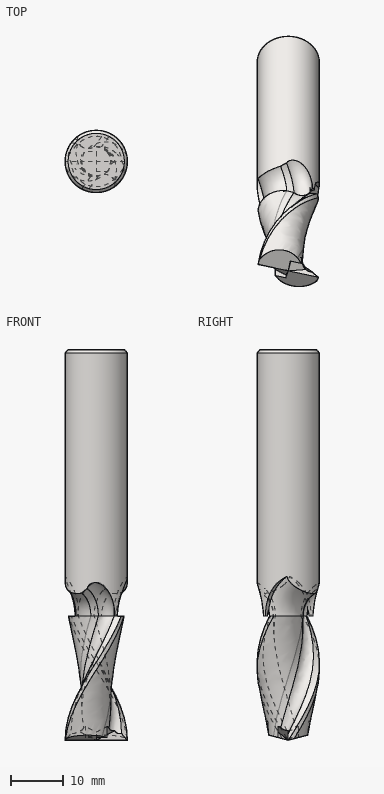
import cadquery as cq
import math

length = 75.0
radius = 6.0
shank_chamfer = 0.6
cutter_length = 23.85

tooth_count = 2
helix_lead = 60.0
twist = 360.0 * cutter_length / helix_lead

land_angle = 9.0
relief_middle = (-2.4, -3.5)
heel = (0.9, -2.9)
flute_start = (2.0, -2.0)
flute_middle = (3.45, -0.7)
rake_inner = (4.8, -0.7)

end_relief_slope = 0.26
gash_width = 1.95
gash_slope_x = 0.52
gash_slope_y = 0.8

runout_axis_y = 7.65
runout_outer_y = 6.75
runout_side_x = 6.75
runout_flute_end = (-5.7, 1.65)
runout_relief_middle = (3.15, 1.95)
runout_relief_end = (4.95, -1.05)
runout_angle = 90.0

clearance = 1.5
tool_reach = radius + clearance


def turned(point):
    """Return the point turned half a revolution about the Z axis."""
    return (-point[0], -point[1])


def on_circle(angle):
    """Return the point of the cutter's outer circle at an angle in degrees."""
    return (radius * math.cos(math.radians(angle)), radius * math.sin(math.radians(angle)))


def tooth_section():
    """Two-tooth section: narrow lands, convex reliefs and hollow flutes."""
    edge = on_circle(180.0)
    land_middle = on_circle(180.0 + land_angle / 2)
    land_end = on_circle(180.0 + land_angle)
    return (
        cq.Workplane("XY")
        .moveTo(*edge)
        .threePointArc(land_middle, land_end)
        .threePointArc(relief_middle, heel)
        .lineTo(*flute_start)
        .threePointArc(flute_middle, rake_inner)
        .lineTo(*turned(edge))
        .threePointArc(turned(land_middle), turned(land_end))
        .threePointArc(turned(relief_middle), turned(heel))
        .lineTo(*turned(flute_start))
        .threePointArc(turned(flute_middle), turned(rake_inner))
        .close()
    )


def end_relief_tool():
    """Wedge below the end face, sloping up behind the cutting edge."""
    rise = end_relief_slope * tool_reach
    return (
        cq.Workplane("YZ")
        .polyline([(0, 0), (tool_reach, rise), (tool_reach, -clearance), (0, -clearance)])
        .close()
        .extrude(tool_reach, both=True)
    )


def gash_tool():
    """Notch in front of one cutting edge, its floor rising outward and away from the edge."""
    rise_x = gash_slope_x * tool_reach
    rise_y = gash_slope_y * gash_width

    def gash_outline(y, extra_height):
        return cq.Wire.makePolygon(
            [
                cq.Vector(0, y, -clearance),
                cq.Vector(tool_reach, y, -clearance),
                cq.Vector(tool_reach, y, rise_x + extra_height),
                cq.Vector(0, y, extra_height),
            ],
            close=True,
        )

    return cq.Workplane(cq.Solid.makeLoft([gash_outline(0, 0), gash_outline(-gash_width, rise_y)], True))


def runout_tool():
    """Flute void turned outward about an axis beside the shank."""
    return (
        cq.Workplane("XY")
        .moveTo(-runout_side_x, runout_outer_y)
        .lineTo(-runout_side_x, runout_flute_end[1])
        .lineTo(*runout_flute_end)
        .threePointArc(turned(flute_middle), turned(flute_start))
        .lineTo(*turned(heel))
        .threePointArc(runout_relief_middle, runout_relief_end)
        .lineTo(runout_side_x, runout_relief_end[1])
        .lineTo(runout_side_x, runout_outer_y)
        .close()
        .revolve(runout_angle, (0, runout_axis_y), (-1, runout_axis_y))
    )


def make_cutter():
    cutter = tooth_section().twistExtrude(cutter_length, twist)
    for tooth in range(tooth_count):
        turn = 360.0 * tooth / tooth_count
        for tool in (end_relief_tool(), gash_tool()):
            cutter = cutter.cut(tool.rotate((0, 0, 0), (0, 0, 1), turn))
    return cutter.solids()


def make_shank():
    shank = (
        cq.Workplane("XY")
        .workplane(offset=cutter_length)
        .circle(radius)
        .extrude(length - cutter_length)
        .faces(">Z")
        .chamfer(shank_chamfer)
    )
    for tooth in range(tooth_count):
        turn = twist + 360.0 * tooth / tooth_count
        tool = runout_tool().rotate((0, 0, 0), (0, 0, 1), turn).translate((0, 0, cutter_length))
        shank = shank.cut(tool)
    return shank.solids()


cutter = make_cutter()
shank = make_shank()
result = cq.Compound.makeCompound([*cutter.vals(), *shank.vals()])